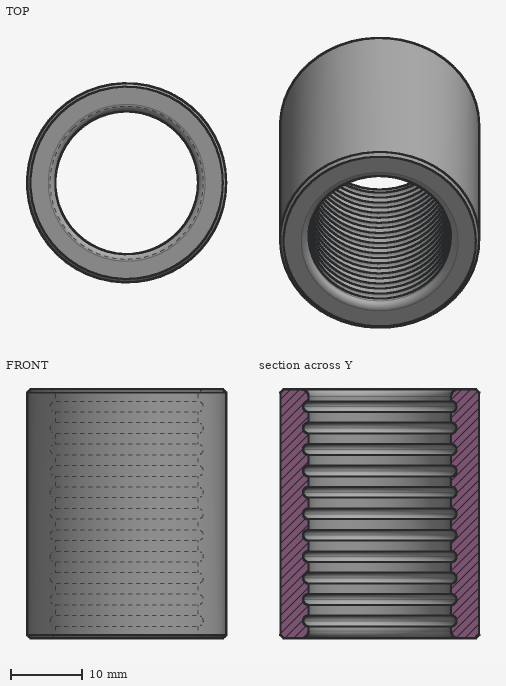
import cadquery as cq

length = 35.0
outer_radius = 14.0
outer_chamfer = 0.5
bore_radius = 10.0
bore_fillet = 1.0

groove_count = 11
groove_pitch = 3.0
groove_radius = 0.752


def make_sleeve():
    """Plain tube with chamfered outer rims and rounded bore mouths."""
    body = cq.Workplane("XY").circle(outer_radius).extrude(length)
    body = body.faces("<Z or >Z").edges().chamfer(outer_chamfer)
    body = body.cut(cq.Workplane("XY").circle(bore_radius).extrude(length))
    rims = cq.selectors.RadiusNthSelector(0)
    return body.faces("<Z or >Z").edges(rims).fillet(bore_fillet)


def make_groove(height):
    """Ring that cuts a half-round groove centred on the bore wall."""
    return cq.Workplane("XY").add(
        cq.Solid.makeTorus(bore_radius, groove_radius, cq.Vector(0, 0, height))
    )


result = make_sleeve()
first_groove = (length - (groove_count - 1) * groove_pitch) / 2
for index in range(groove_count):
    result = result.cut(make_groove(first_groove + index * groove_pitch))